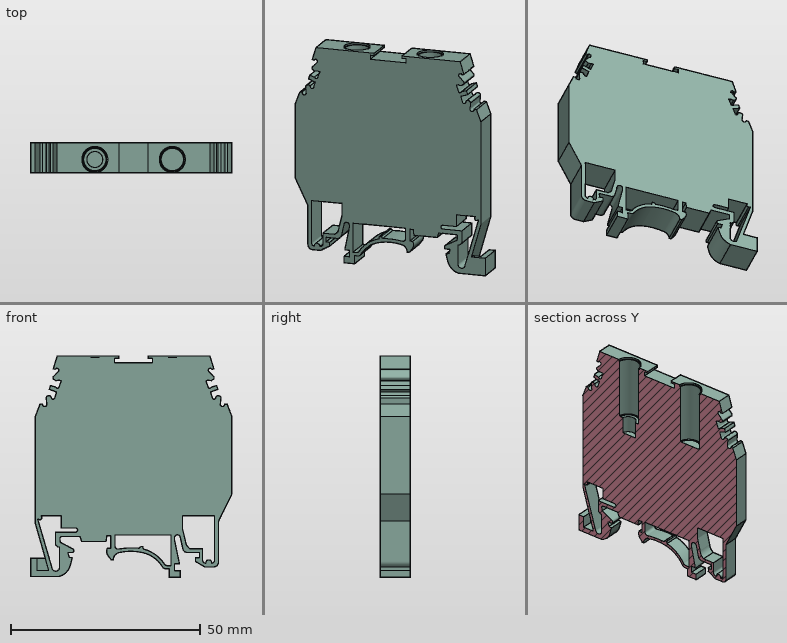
import cadquery as cq

width_y = 8.0
height = 58.55
body_left = 1.25
body_right = 53.2
centre_x = (body_left + body_right) / 2
half_body = (body_right - body_left) / 2
shoulder_z = 42.55

groove_half_width = 5.0
groove_lip_half_width = 3.85
groove_lip_z = 57.9
groove_floor_z = 56.8

window_top_z = 16.3
bridge_top_z = 11.2
latch_ceiling_z = 10.8
body_bottom_z = 9.5

foot_bottom_z = 0.25
foot_top_z = 5.1
foot_wall = 1.7
foot_floor = 1.65
foot_back_wall = 1.3
foot_leg_x = 3.85
leg_bend_z = 14.3

leg_right_x = 49.7
leg_right_wall = 1.1

hole_spacing = 20.5
hole_offset_y = -0.45
hole_diameter = 6.3
hole_floor_diameter = 5.9
hole_mouth_diameter = 6.9
hole_mouth_depth = 0.45
hole_depth = 17.55
pilot_diameter = 4.2
pilot_depth = 4.7


SIDE_START = (20.2, height)
SIDE_STEPS = [
    ("line", (21.25, 55.15)),
    ("line", (20.7, 55.0)),
    ("line", (20.45, 55.2)),
    ("arc", (19.85, 55.05), (19.9, 54.45)),
    ("line", (21.2, 53.1)),
    ("arc", (21.3, 52.7), (21.1, 52.35)),
    ("line", (20.55, 52.0)),
    ("line", (19.7, 52.1)),
    ("line", (19.15, 52.0)),
    ("line", (19.8, 50.2)),
    ("arc", (20.0, 50.0), (20.3, 50.1)),
    ("line", (20.6, 50.35)),
    ("line", (21.95, 50.75)),
    ("line", (22.3, 49.7)),
    ("line", (20.4, 49.0)),
    ("line", (20.9, 47.35)),
    ("arc", (21.3, 47.15), (21.65, 47.4)),
    ("line", (21.85, 47.85)),
    ("arc", (22.6, 48.05), (23.1, 47.5)),
    ("line", (22.95, 45.65)),
    ("arc", (23.4, 45.2), (24.0, 45.6)),
    ("line", (24.1, 45.9)),
    ("line", (24.75, 45.8)),
    ("line", (half_body, shoulder_z)),
]


def draw(start, steps):
    """Closed XZ wire from a start point and line or arc steps."""
    path = cq.Workplane("XZ").moveTo(*start)
    for kind, *points in steps:
        if kind == "line":
            path = path.lineTo(*points[0])
        else:
            path = path.threePointArc(*points)
    return path.close()


def prism(start, steps):
    """Closed outline extruded over the full thickness, centred on Y = 0."""
    return draw(start, steps).extrude(width_y / 2, both=True)


def side_of_body(sign):
    """Stepped side placed right (sign = 1) or left (sign = -1) of the centre line."""
    def place(point):
        return (centre_x + sign * point[0], point[1])

    steps = [(kind, *map(place, points)) for kind, *points in SIDE_STEPS]
    return place(SIDE_START), steps


def reversed_path(start, steps):
    """The same path walked from its end to its start."""
    corners = [start] + [step[-1] for step in steps]
    back = []
    for step, corner in zip(reversed(steps), reversed(corners[:-1])):
        back.append((step[0], *step[1:-1], corner))
    return corners[-1], back


def outer_profile():
    """Housing with the rail-side outline along its lower edge."""
    left_foot = [
        ("line", (body_left, leg_bend_z)),
        ("line", (foot_leg_x, foot_top_z)),
        ("line", (0, foot_top_z)),
        ("line", (0, foot_bottom_z)),
        ("line", (7.55, foot_bottom_z)),
        ("arc", (9.6, 1.5), (10.55, 3.3)),
        ("line", (11.05, 5.2)),
        ("line", (10.25, 5.4)),
        ("line", (9.9, 6.55)),
        ("line", (11.1, 6.55)),
        ("arc", (11.5, 7.1), (11.1, 7.6)),
        ("line", (7.9, 9.3)),
        ("line", (7.8, 10.3)),
        ("arc", (7.9, 10.65), (8.3, latch_ceiling_z)),
    ]
    body_bottom = [
        ("line", (13.05, latch_ceiling_z)),
        ("line", (13.45, body_bottom_z)),
        ("line", (19.95, body_bottom_z)),
        ("line", (20.2, 11.0)),
        ("line", (21.15, 11.0)),
    ]
    arch = [
        ("line", (21.15, 7.8)),
        ("line", (20.3, 7.8)),
        ("arc", (20.1, 6.7), (20.5, 5.75)),
        ("line", (21.3, 4.6)),
        ("line", (21.9, 4.6)),
        ("arc", (22.25, 5.8), (23.2, 6.5)),
        ("arc", (26.35, 6.9), (29.55, 6.55)),
        ("arc", (32.6, 5.2), (34.85, 2.8)),
        ("arc", (35.25, 2.4), (35.7, 2.3)),
        ("line", (36.6, 2.3)),
    ]
    rail_stop = [
        ("line", (36.6, 0)),
        ("line", (39.6, 0)),
        ("line", (39.6, 1.8)),
        ("line", (38.05, 1.8)),
        ("line", (38.05, 3.6)),
        ("line", (39.35, 3.6)),
        ("line", (39.3, 4.1)),
        ("line", (38.05, 9.95)),
        ("line", (38.05, 10.55)),
        ("arc", (38.8, 11.25), (39.5, 10.7)),
    ]
    right_leg = [
        ("line", (40.2, 7.55)),
        ("arc", (40.75, 6.8), (41.6, 6.55)),
        ("line", (44.6, 6.55)),
        ("line", (44.6, 5.25)),
        ("line", (43.55, 5.25)),
        ("line", (43.55, 4.2)),
        ("line", (46.1, 2.75)),
        ("line", (48.5, 2.75)),
        ("arc", (49.35, 3.2), (leg_right_x, 4.15)),
        ("line", (leg_right_x, 14.9)),
        ("line", (body_right, 22.0)),
        ("line", (body_right, shoulder_z)),
    ]
    start, left_side = side_of_body(-1)
    right_side = reversed_path(*side_of_body(1))[1]
    return prism(start, left_side + left_foot + body_bottom + arch + rail_stop + right_leg + right_side)


def label_groove():
    """Undercut groove that divides the top face."""
    left_lip = centre_x - groove_lip_half_width
    right_lip = centre_x + groove_lip_half_width
    left_wall = centre_x - groove_half_width
    right_wall = centre_x + groove_half_width
    return prism((left_lip, height), [
        ("line", (left_lip, groove_lip_z)),
        ("line", (left_wall, groove_lip_z)),
        ("line", (left_wall, groove_floor_z)),
        ("line", (right_wall, groove_floor_z)),
        ("line", (right_wall, groove_lip_z)),
        ("line", (right_lip, groove_lip_z)),
        ("line", (right_lip, height)),
    ])


def left_window():
    """Opening behind the slanted latch leg, with a bead in its upper corner."""
    return prism((2.8, window_top_z), [
        ("line", (8.1, window_top_z)),
        ("line", (8.1, 13.05)),
        ("line", (11.9, 13.05)),
        ("arc", (12.4, 12.55), (11.9, 12.0)),
        ("line", (6.55, 12.0)),
        ("line", (6.55, 8.6)),
        ("line", (7.25, 8.0)),
        ("line", (7.6, 8.0)),
        ("line", (7.6, 2.6)),
        ("arc", (6.6, 1.7), (5.7, 2.6)),
        ("line", (2.05, 15.0)),
        ("line", (1.95, 15.4)),
        ("line", (2.45, 15.2)),
        ("arc", (3.0, 15.7), (2.8, window_top_z)),
    ])


def middle_window():
    """Opening between the body and the curved bridge below it."""
    return prism((22.35, bridge_top_z), [
        ("line", (37.05, bridge_top_z)),
        ("line", (37.05, 3.15)),
        ("line", (36.05, 3.15)),
        ("arc", (35.6, 3.35), (35.3, 3.7)),
        ("arc", (33.15, 6.0), (29.8, 7.55)),
        ("line", (29.7, 8.2)),
        ("line", (29.15, 8.2)),
        ("line", (28.7, 7.8)),
        ("arc", (26.1, 7.85), (23.2, 7.55)),
        ("arc", (22.6, 7.7), (22.35, 8.25)),
    ])


def right_window():
    """Opening in the right leg, with a rounded bump on its floor."""
    return prism((40.15, window_top_z), [
        ("line", (leg_right_x - leg_right_wall, window_top_z)),
        ("line", (leg_right_x - leg_right_wall, 4.5)),
        ("arc", (48.35, 4.0), (47.9, 3.8)),
        ("arc", (47.1, 4.7), (46.3, 3.8)),
        ("arc", (45.7, 4.05), (45.5, 4.7)),
        ("line", (45.5, 7.6)),
        ("line", (42.15, 7.6)),
        ("arc", (41.35, 8.45), (41.0, 9.6)),
        ("line", (40.15, 12.95)),
    ])


def foot_pocket():
    """Pocket in the left foot, open to the front and up to the slanted leg."""
    floor_z = foot_bottom_z + foot_floor
    leg_slope = (foot_leg_x - body_left) / (leg_bend_z - foot_top_z)
    leg_x_at_floor = foot_leg_x + leg_slope * (foot_top_z - floor_z)
    corners = [
        (foot_wall, foot_top_z),
        (foot_wall, floor_z),
        (leg_x_at_floor, floor_z),
        (foot_leg_x, foot_top_z),
    ]
    front = cq.Workplane("XZ", origin=(0, -width_y / 2, 0))
    return front.polyline(corners).close().extrude(-(width_y - foot_back_wall))


def hole(x, diameter, depth):
    """Round vertical hole sunk from the top face."""
    top = cq.Workplane("XY", origin=(x, hole_offset_y, height))
    return top.circle(diameter / 2).extrude(-depth)


def screw_hole(x):
    """Blind screw hole with a shallow counterbore at its mouth and a bevelled floor edge."""
    floor_bevel = (hole_diameter - hole_floor_diameter) / 2
    bore = hole(x, hole_diameter, hole_depth).faces("<Z").chamfer(floor_bevel)
    return bore.union(hole(x, hole_mouth_diameter, hole_mouth_depth))


left_hole_x = centre_x - hole_spacing / 2
right_hole_x = centre_x + hole_spacing / 2

result = (
    outer_profile()
    .cut(label_groove())
    .cut(left_window())
    .cut(middle_window())
    .cut(right_window())
    .cut(foot_pocket())
    .cut(screw_hole(left_hole_x))
    .cut(hole(left_hole_x, pilot_diameter, hole_depth + pilot_depth))
    .cut(screw_hole(right_hole_x))
)